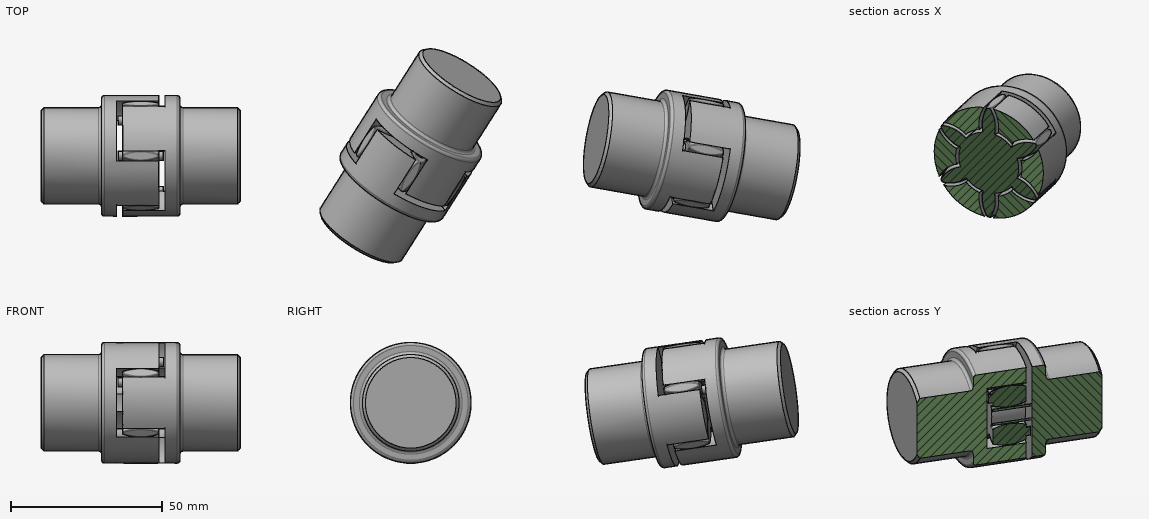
import cadquery as cq
import math


half_length = 33.0
shank_radius = 16.0
end_chamfer = 1.0
flange_radius = 20.0
flange_back = 13.0
edge_radius = 1.0

spider_half_width = 6.0
floor_gap = 2.0
floor_distance = spider_half_width + floor_gap
jaw_inner_radius = 12.0
leg_count = 6
leg_pitch = 360.0 / leg_count

barrel_centre = 13.5
gap_half_width = 3.5
barrel_arc_radius = 12.0

leg_clearance = 0.02
leg_crown_radius = 18.0
leg_root = 10.0
leg_tip = flange_radius
leg_fillet = 0.4
core_radius = 11.0
boss_radius = 1.55
boss_height = 1.5

overcut = 2.0


def barrel_half_width(distance, widest):
    """Half width of the barrel outline at a given distance from the coupling axis."""
    offset = distance - barrel_centre
    return widest - barrel_arc_radius + math.sqrt(barrel_arc_radius**2 - offset**2)


def turned_hub():
    """Left hub as a turned part, its jaws still joined in a full ring."""
    bulge = edge_radius * (1 - math.sqrt(0.5))
    profile = (
        cq.Workplane("XZ")
        .moveTo(-half_length, 0)
        .lineTo(-half_length, shank_radius - end_chamfer)
        .lineTo(-half_length + end_chamfer, shank_radius)
        .lineTo(-flange_back - edge_radius, shank_radius)
        .threePointArc(
            (-flange_back - bulge, shank_radius + bulge),
            (-flange_back, shank_radius + edge_radius),
        )
        .lineTo(-flange_back, flange_radius - edge_radius)
        .threePointArc(
            (-flange_back + bulge, flange_radius - bulge),
            (-flange_back + edge_radius, flange_radius),
        )
        .lineTo(spider_half_width, flange_radius)
        .lineTo(spider_half_width, jaw_inner_radius)
        .lineTo(-floor_distance, jaw_inner_radius)
        .lineTo(-floor_distance, 0)
        .close()
    )
    return profile.revolve(360, (0, 0, 0), (1, 0, 0))


def jaw_gap_cutter():
    """Barrel-shaped bar along X that shapes the jaw flanks, placed on +Z."""
    inner = jaw_inner_radius - overcut
    outer = flange_radius + overcut
    inner_half = barrel_half_width(inner, gap_half_width)
    outer_half = barrel_half_width(outer, gap_half_width)
    return (
        cq.Workplane("YZ", origin=(-floor_distance, 0, 0))
        .moveTo(inner_half, inner)
        .threePointArc((gap_half_width, barrel_centre), (outer_half, outer))
        .lineTo(-outer_half, outer)
        .threePointArc((-gap_half_width, barrel_centre), (-inner_half, inner))
        .close()
        .extrude(floor_distance + spider_half_width + overcut)
    )


def opposite_jaw_cutter():
    """Wedge along X from +Z round to the next leg towards +Y, where the other hub's jaw sits."""
    reach = 2 * flange_radius
    angle = math.radians(leg_pitch)
    return (
        cq.Workplane("YZ", origin=(-floor_distance, 0, 0))
        .polyline([(0, 0), (0, reach), (reach * math.sin(angle), reach * math.cos(angle))])
        .close()
        .extrude(floor_distance + spider_half_width + overcut)
    )


def jaw_hub():
    """Left hub: shank, flange and three jaws."""
    hub = turned_hub()
    for leg in range(leg_count):
        angle = leg * leg_pitch
        hub = hub.cut(jaw_gap_cutter().rotate((0, 0, 0), (1, 0, 0), angle))
        if leg % 2 == 0:
            hub = hub.cut(opposite_jaw_cutter().rotate((0, 0, 0), (1, 0, 0), angle))
    return hub


def crowned_flank(widest):
    """Solid of revolution whose +Y side is the leg flank, curved along Z and along X."""
    axis_y = widest - leg_crown_radius
    root_half = barrel_half_width(leg_root, widest)
    tip_half = barrel_half_width(leg_tip, widest)
    return (
        cq.Workplane("YZ")
        .moveTo(axis_y, leg_root)
        .lineTo(root_half, leg_root)
        .threePointArc((widest, barrel_centre), (tip_half, leg_tip))
        .lineTo(axis_y, leg_tip)
        .close()
        .revolve(360, (axis_y, 0, 0), (axis_y, 1, 0))
    )


def spider_leg():
    """One leg on +Z with crowned flanks and a flat tip, all edges rounded except at the root."""
    flank = crowned_flank(gap_half_width - leg_clearance)
    block = cq.Workplane("XY", origin=(0, 0, leg_root)).rect(
        2 * spider_half_width, 4 * gap_half_width
    ).extrude(leg_tip - leg_root)
    leg = block.intersect(flank).intersect(flank.mirror("XZ"))
    return leg.faces(">Z or <X or >X").edges("not <Z").fillet(leg_fillet)


def spacer_boss():
    """Round boss on a leg on +Z, standing out from its +X end face."""
    return (
        cq.Workplane("YZ")
        .center(0, barrel_centre)
        .circle(boss_radius)
        .extrude(spider_half_width + boss_height)
    )


def make_spider():
    """Core disc with six legs, whose bosses point to +X and -X in turn."""
    spider = (
        cq.Workplane("YZ", origin=(-spider_half_width, 0, 0))
        .circle(core_radius)
        .extrude(2 * spider_half_width)
    )
    plain_leg = spider_leg()
    right_boss = spacer_boss()
    left_boss = right_boss.mirror("YZ")
    for leg in range(leg_count):
        boss = right_boss if leg % 2 == 0 else left_boss
        bossed_leg = plain_leg.union(boss)
        spider = spider.union(bossed_leg.rotate((0, 0, 0), (1, 0, 0), leg * leg_pitch))
    return spider


left_hub = jaw_hub()
right_hub = left_hub.mirror("YZ").rotate((0, 0, 0), (1, 0, 0), leg_pitch)
spider = make_spider()

result = cq.Compound.makeCompound([body.solids().val() for body in (left_hub, right_hub, spider)])